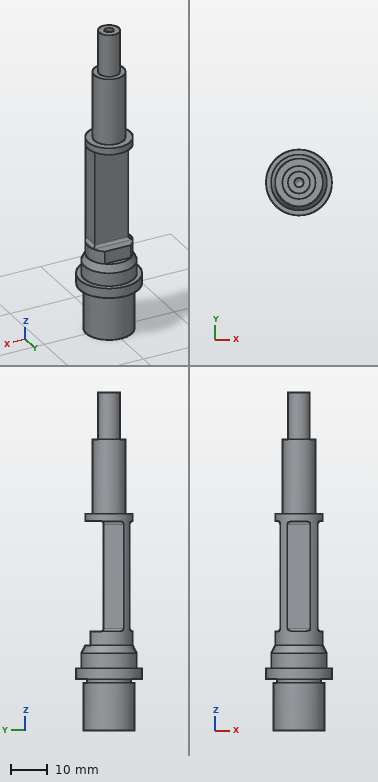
import cadquery as cq
import math

barrel_diameter = 14.0
groove_diameter = 12.0
flange_diameter = 18.0
shoulder_diameter = 15.2
body_diameter = 13.0
journal_diameter = 9.0
tip_diameter = 6.0

barrel_top = 13.0
groove_top = 14.0
flange_top = 17.0
shoulder_top = 21.0
cone_top = 23.2
collar_top = 59.0
journal_top = 79.2
overall_height = 92.0

waist_bottom = 27.0
waist_top = 57.0
side_flat_offset = 5.15
front_flat_offset = 5.7
back_flat_offset = 1.5
flat_end_radius = 0.8

relief_flat_offset = 5.1

hole_diameter = 2.5
hole_wall_depth = 1.0
drill_point_angle = 118.0


def turned_blank():
    """Revolve the coaxial stages; the height gap below the body becomes the cone."""
    stages = [
        (barrel_diameter, 0, barrel_top),
        (groove_diameter, barrel_top, groove_top),
        (flange_diameter, groove_top, flange_top),
        (shoulder_diameter, flange_top, shoulder_top),
        (body_diameter, cone_top, collar_top),
        (journal_diameter, collar_top, journal_top),
        (tip_diameter, journal_top, overall_height),
    ]
    outline = cq.Workplane("XZ").moveTo(0, 0)
    for diameter, bottom, top in stages:
        outline = outline.lineTo(diameter / 2, bottom).lineTo(diameter / 2, top)
    return outline.lineTo(0, overall_height).close().revolve(360, (0, 0), (0, 1))


def flat_cutter(offset, direction):
    """Cutter for a waist flat facing `direction` degrees from +X, with rounded inner corners."""
    reach = body_diameter
    cutter = (
        cq.Workplane("XY")
        .box(reach, 2 * reach, waist_top - waist_bottom, centered=(False, True, False))
        .edges("<X and |Y")
        .fillet(flat_end_radius)
        .translate((offset, 0, waist_bottom))
    )
    return cutter.rotate((0, 0, 0), (0, 0, 1), direction)


def relief_cutter():
    """Cutter for the flat on the back of the body just above the cone."""
    return (
        cq.Workplane("XY", origin=(0, relief_flat_offset, cone_top))
        .box(2 * body_diameter, body_diameter, waist_bottom - cone_top, centered=(True, False, False))
    )


def centre_hole():
    """Blind drilled hole with a conical floor, down from the top face."""
    radius = hole_diameter / 2
    wall_bottom = overall_height - hole_wall_depth
    point_depth = radius / math.tan(math.radians(drill_point_angle / 2))
    return (
        cq.Workplane("XZ")
        .moveTo(0, overall_height)
        .lineTo(radius, overall_height)
        .lineTo(radius, wall_bottom)
        .lineTo(0, wall_bottom - point_depth)
        .close()
        .revolve(360, (0, 0), (0, 1))
    )


waist_flats = [
    (side_flat_offset, 0),
    (back_flat_offset, 90),
    (side_flat_offset, 180),
    (front_flat_offset, 270),
]

result = turned_blank()
for flat_offset, flat_direction in waist_flats:
    result = result.cut(flat_cutter(flat_offset, flat_direction))
result = result.cut(relief_cutter()).cut(centre_hole())